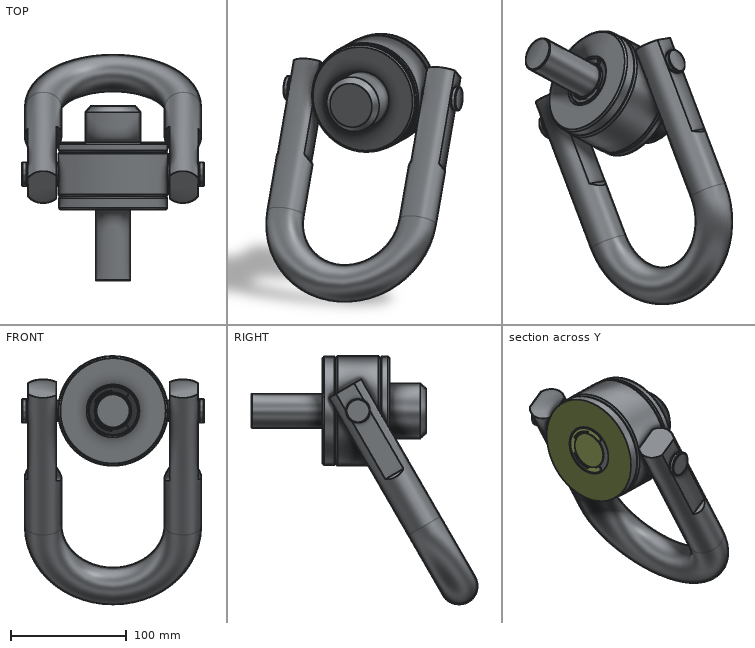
import cadquery as cq
import math


drum_radius = 47.5
drum_half_width = 19.1
rim_chamfer = 1.6
trunnion_radius = 9.1
trunnion_head_radius = 10.4
trunnion_head_start = 74.2
trunnion_end = 78.6
trunnion_chamfer = 0.7

flange_radius = 47.0
flange_thickness = 8.4
head_radius = 23.9
head_end_radius = 19.1
head_end_length = 5.4
head_end_y = 59.0
journal_radius = 16.0
shank_radius = 15.0
shank_end_y = -92.07
shank_chamfer = 0.8

washer_thickness = 11.6
recess_radius = 21.3
recess_chamfer = 1.6
clip_thickness = 2.5

clip_radius = 20.7
clip_relief_radius = 17.5
clip_opening_x = 13.2
clip_corner_radius = 2.1
relief_start_angle = 94.0
relief_end_angle = 154.0
relief_mid_angle = (relief_start_angle + relief_end_angle) / 2

bail_tilt = 30.0
rod_radius = 16.0
arm_offset = 60.3
arm_above_pivot = 22.3
arm_below_pivot = 114.3
inner_flat_x = 48.8
outer_flat_x = 73.5
flat_below_pivot = 62.9

flange_rear_y = drum_half_width + flange_thickness
washer_front_y = -drum_half_width - washer_thickness
recess_floor_y = washer_front_y + clip_thickness


def cylinder_y(radius, y_start, y_end):
    """Solid cylinder on the Y axis between two Y positions."""
    start_plane = cq.Workplane("XZ", origin=(0, y_start, 0))
    return start_plane.circle(radius).extrude(y_start - y_end)


def cylinder_x(radius, x_start, x_end):
    """Solid cylinder on the X axis between two X positions."""
    return cq.Workplane("YZ", origin=(x_start, 0, 0)).circle(radius).extrude(x_end - x_start)


def make_drum():
    """Drum that turns on the bolt journal, with a headed trunnion on each side."""
    drum = cylinder_y(drum_radius, -drum_half_width, drum_half_width)
    drum = drum.faces("<Y or >Y").chamfer(rim_chamfer)
    for side in (-1, 1):
        drum = drum.union(cylinder_x(trunnion_radius, 0, side * trunnion_end))
        head = cylinder_x(trunnion_head_radius, side * trunnion_head_start, side * trunnion_end)
        drum = drum.union(head.faces("<X or >X").chamfer(trunnion_chamfer))
    return drum.cut(cylinder_y(journal_radius, -drum_half_width, drum_half_width))


def make_bolt():
    """Bolt with a tapered head end, a wide flange, a journal and a plain shank."""
    bolt = cylinder_y(flange_radius, drum_half_width, flange_rear_y)
    bolt = bolt.faces("<Y or >Y").chamfer(rim_chamfer)

    head = cylinder_y(head_radius, flange_rear_y, head_end_y)
    head = head.faces(">Y").chamfer(head_end_length, head_radius - head_end_radius)
    journal = cylinder_y(journal_radius, drum_half_width, washer_front_y)
    shank = cylinder_y(shank_radius, washer_front_y, shank_end_y)
    shank = shank.faces("<Y").chamfer(shank_chamfer)
    return bolt.union(head).union(journal).union(shank)


def make_washer():
    """Front washer with a chamfered recess that holds the retaining clip."""
    washer = cylinder_y(flange_radius, washer_front_y, -drum_half_width)
    washer = washer.faces("<Y or >Y").chamfer(rim_chamfer)
    washer = washer.cut(cylinder_y(recess_radius, washer_front_y, recess_floor_y))
    washer = washer.faces("<Y").edges(cq.selectors.RadiusNthSelector(0)).chamfer(recess_chamfer)
    return washer.cut(cylinder_y(journal_radius, washer_front_y, -drum_half_width))


def polar(radius, angle):
    """Point in the XZ plane at an angle in degrees from +X."""
    return (radius * math.cos(math.radians(angle)), radius * math.sin(math.radians(angle)))


def make_clip():
    """Open ring with three inner pads on the journal and two relief gaps between the pads."""
    clip_plane = cq.Workplane("XZ", origin=(0, recess_floor_y, 0))
    clip = clip_plane.circle(clip_radius).circle(journal_radius).extrude(clip_thickness)

    for side in (-1, 1):
        start = side * relief_start_angle
        middle = side * relief_mid_angle
        end = side * relief_end_angle
        relief = (
            clip_plane.moveTo(*polar(journal_radius, start))
            .lineTo(*polar(clip_relief_radius, start))
            .threePointArc(polar(clip_relief_radius, middle), polar(clip_relief_radius, end))
            .lineTo(*polar(journal_radius, end))
            .threePointArc(polar(journal_radius, middle), polar(journal_radius, start))
            .close()
            .extrude(clip_thickness)
        )
        clip = clip.cut(relief)

    opening_centre_x = clip_opening_x + clip_radius / 2
    opening = clip_plane.center(opening_centre_x, 0).rect(clip_radius, 2 * clip_radius)
    opening = opening.extrude(clip_thickness)
    clip = clip.cut(opening)
    tip_corners = cq.selectors.BoxSelector(
        (clip_opening_x - clip_corner_radius, washer_front_y, -journal_radius),
        (clip_opening_x + clip_corner_radius, drum_half_width, journal_radius),
    )
    return clip.edges("|Y").edges(tip_corners).fillet(clip_corner_radius)


def make_bail():
    """U-shaped rod with flatted arm ends bored for the trunnions, tilted about the X axis."""
    path = (
        cq.Workplane("XZ")
        .moveTo(-arm_offset, arm_above_pivot)
        .lineTo(-arm_offset, -arm_below_pivot)
        .threePointArc((0, -arm_below_pivot - arm_offset), (arm_offset, -arm_below_pivot))
        .lineTo(arm_offset, arm_above_pivot)
    )
    rod_end = cq.Workplane("XY", origin=(-arm_offset, 0, arm_above_pivot))
    bail = rod_end.circle(rod_radius).sweep(path)
    for side in (-1, 1):
        for flat_x, away in ((inner_flat_x, -1), (outer_flat_x, 1)):
            far_x = flat_x + away * rod_radius
            cutter = (
                cq.Workplane("XZ", origin=(0, rod_radius, 0))
                .moveTo(side * flat_x, arm_above_pivot)
                .lineTo(side * flat_x, -flat_below_pivot)
                .lineTo(side * far_x, -flat_below_pivot - rod_radius)
                .lineTo(side * far_x, arm_above_pivot)
                .close()
                .extrude(2 * rod_radius)
            )
            bail = bail.cut(cutter)
    bail = bail.cut(cylinder_x(trunnion_radius, -trunnion_end, trunnion_end))
    return bail.rotate((0, 0, 0), (1, 0, 0), bail_tilt)


drum = make_drum()
bolt = make_bolt()
washer = make_washer()
clip = make_clip()
bail = make_bail()

result = cq.Compound.makeCompound([drum.val(), bolt.val(), washer.val(), clip.val(), bail.val()])